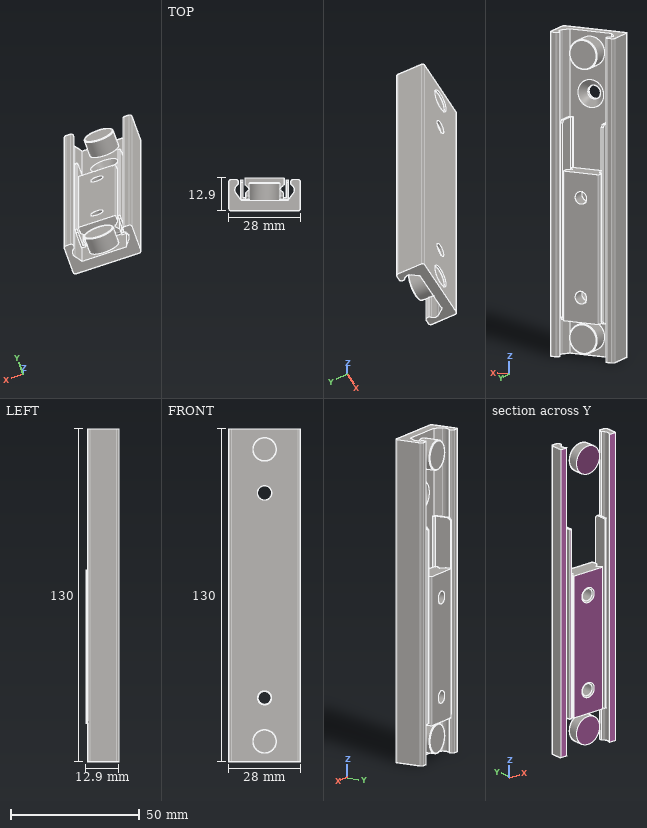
import cadquery as cq
import math


y_direction = cq.Vector(0, 1, 0)

countersink_angle = 90.0
countersink_slope = math.tan(math.radians(countersink_angle / 2))

rail_width = 28.0
rail_depth = 12.3
rail_length = 130.0
rail_edge_radius = 1.0
floor_thickness = 4.15
floor_half_width = 9.1
lip_half_opening = 10.2
lip_bottom = 10.5
groove_half_width = 12.25
groove_center = 8.4
groove_radius = 2.2

screw_hole_diameter = 5.5
screw_hole_spacing = 80.0
countersink_start = 1.3
countersink_depth = floor_thickness - countersink_start
countersink_diameter = screw_hole_diameter + 2 * countersink_depth * countersink_slope

buffer_spacing = 114.0
buffer_head_diameter = 12.0
buffer_stem_diameter = 9.2
buffer_top = 11.05
buffer_edge_chamfer = 0.3
buffer_stem_recess = 0.7
buffer_stem_chamfer = 0.15

carriage_length = 60.0
carriage_center_z = -20.0
carriage_half_width = 7.7
carriage_foot_half_width = 7.4
carriage_top = 12.9
carriage_bottom = 4.5
carriage_groove_half_width = 5.9
carriage_groove_center = 8.55
carriage_end_radius = 1.3
carriage_corner_radius = 0.3
carriage_hole_diameter = 5.0
carriage_hole_spacing = 40.0
carriage_countersink_diameter = 10.0
carriage_countersink_depth = (carriage_countersink_diameter - carriage_hole_diameter) / 2 / countersink_slope
carriage_countersink_end = carriage_bottom + carriage_countersink_depth

cage_inner = 8.4
cage_outer = 9.3
cage_bottom = 4.45
cage_top = 12.1
cage_end_z = 30.0
cage_center_z = carriage_center_z / 2
cage_length = 2 * (cage_end_z - cage_center_z)
cage_foot_thickness = 0.75
cage_end_chamfer = 1.1


def mirrored_profile(right_half):
    """Closed outline on the XY plane from its right half, listed from bottom to top."""
    left_half = [(-x, y) for x, y in reversed(right_half)]
    return cq.Workplane("XY").polyline(right_half + left_half).close()


def edges_at(x, y, tolerance=0.01):
    """Box selector for the Z-parallel edges through (x, y)."""
    low_corner = (x - tolerance, y - tolerance, -rail_length)
    high_corner = (x + tolerance, y + tolerance, rail_length)
    return cq.selectors.BoxSelector(low_corner, high_corner)


def y_cylinder(diameter, z, start, end):
    """Cylinder along Y, centred on X = 0 at height z, from Y = start to Y = end."""
    base = cq.Vector(0, start, z)
    return cq.Workplane(cq.Solid.makeCylinder(diameter / 2, end - start, base, y_direction))


def y_cone(start_diameter, end_diameter, z, start, end):
    """Truncated cone along Y, centred on X = 0 at height z, from Y = start to Y = end."""
    base = cq.Vector(0, start, z)
    cone = cq.Solid.makeCone(start_diameter / 2, end_diameter / 2, end - start, base, y_direction)
    return cq.Workplane(cone)


def make_rail():
    half_width = rail_width / 2
    profile = mirrored_profile(
        [
            (half_width, 0),
            (half_width, rail_depth),
            (lip_half_opening, rail_depth),
            (lip_half_opening, lip_bottom),
            (groove_half_width, groove_center),
            (floor_half_width, floor_thickness),
        ]
    )
    rail = profile.extrude(rail_length / 2, both=True)
    for side in (-1, 1):
        rounded_edges = [
            (half_width, 0, rail_edge_radius),
            (half_width, rail_depth, rail_edge_radius),
            (lip_half_opening, rail_depth, rail_edge_radius),
            (groove_half_width, groove_center, groove_radius),
        ]
        for x, y, radius in rounded_edges:
            rail = rail.edges(edges_at(side * x, y)).fillet(radius)
    for side in (-1, 1):
        screw_z = side * screw_hole_spacing / 2
        buffer_z = side * buffer_spacing / 2
        rail = rail.cut(y_cylinder(screw_hole_diameter, screw_z, 0, floor_thickness))
        countersink = y_cone(
            screw_hole_diameter, countersink_diameter, screw_z, countersink_start, floor_thickness
        )
        rail = rail.cut(countersink)
        rail = rail.cut(y_cylinder(buffer_stem_diameter, buffer_z, 0, floor_thickness))
    return rail


def make_buffer(z):
    head = y_cylinder(buffer_head_diameter, z, floor_thickness, buffer_top)
    head = head.faces(">Y").chamfer(buffer_edge_chamfer)
    stem = y_cylinder(buffer_stem_diameter, z, buffer_stem_recess, floor_thickness)
    stem = stem.faces("<Y").chamfer(buffer_stem_chamfer)
    return head.union(stem)


def make_carriage():
    groove_depth = carriage_half_width - carriage_groove_half_width
    foot_groove_depth = carriage_foot_half_width - carriage_groove_half_width
    profile = mirrored_profile(
        [
            (carriage_foot_half_width, carriage_bottom),
            (carriage_foot_half_width, carriage_groove_center - foot_groove_depth),
            (carriage_groove_half_width, carriage_groove_center),
            (carriage_half_width, carriage_groove_center + groove_depth),
            (carriage_half_width, carriage_top),
        ]
    )
    carriage = profile.extrude(carriage_length / 2, both=True)
    carriage = carriage.faces("<Y").edges("|X").fillet(carriage_end_radius)
    carriage = carriage.faces(">Y").edges("|Z").fillet(carriage_corner_radius)
    carriage = carriage.translate((0, 0, carriage_center_z))
    for side in (-1, 1):
        hole_z = carriage_center_z + side * carriage_hole_spacing / 2
        carriage = carriage.cut(y_cylinder(carriage_hole_diameter, hole_z, carriage_bottom, carriage_top))
        countersink = y_cone(
            carriage_countersink_diameter,
            carriage_hole_diameter,
            hole_z,
            carriage_bottom,
            carriage_countersink_end,
        )
        carriage = carriage.cut(countersink)
    return carriage


def make_cage(side):
    foot_end = carriage_foot_half_width
    foot_top = cage_bottom + cage_foot_thickness
    outline = [
        (foot_end, cage_bottom),
        (cage_outer, cage_bottom),
        (cage_outer, cage_top),
        (cage_inner, cage_top),
        (cage_inner, foot_top),
        (foot_end, foot_top),
    ]
    cage = cq.Workplane("XY").polyline([(side * x, y) for x, y in outline]).close()
    cage = cage.extrude(cage_length / 2, both=True)
    cage = cage.faces(">Y").edges("|X").chamfer(cage_end_chamfer)
    return cage.translate((0, 0, cage_center_z))


rail = make_rail()
carriage = make_carriage()
cages = [make_cage(side) for side in (-1, 1)]
buffers = [make_buffer(side * buffer_spacing / 2) for side in (-1, 1)]

result = cq.Compound.makeCompound(
    [rail.val(), carriage.val()] + [cage.val() for cage in cages] + [buffer.val() for buffer in buffers]
)